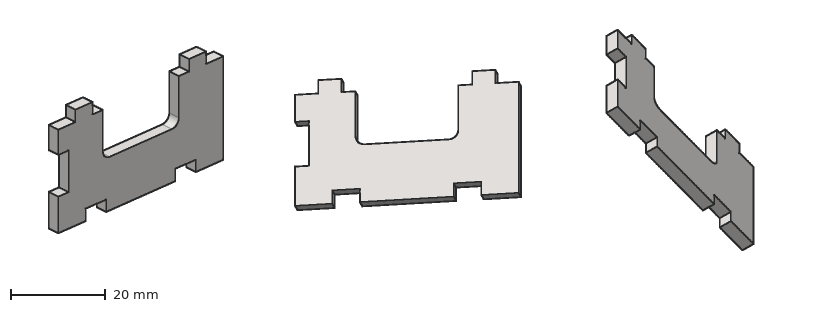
import cadquery as cq

thickness = 3.0
length = 48.0
height = 27.8

joint_depth = thickness
body_height = height - joint_depth

arm_width = 12.95
opening_floor = 12.85
opening_corner_radius = 2.0

tab_width = 5.0
tab_end_offset = 5.0

bottom_notch_width = 5.9
bottom_notch_end_offset = 8.0

end_notch_width = 10.0
end_notch_bottom = 8.8


def block(y_start, z_start, y_size, z_size):
    """Box through the full thickness, from its lowest Y and Z corner."""
    return (
        cq.Workplane("XY")
        .box(thickness, y_size, z_size, centered=(True, False, False))
        .translate((0, y_start, z_start))
    )


def mirrored_pair(shape):
    """The shape together with its mirror image across the middle of the length."""
    return shape.union(shape.mirror("XZ"))


y_min = -length / 2

opening = block(
    y_min + arm_width, opening_floor, length - 2 * arm_width, body_height - opening_floor
)
opening = opening.edges("|X and <Z").fillet(opening_corner_radius)
plate = block(y_min, 0, length, body_height).cut(opening)

tab = block(y_min + tab_end_offset, body_height, tab_width, joint_depth)
plate = plate.union(mirrored_pair(tab))

bottom_notch = block(y_min + bottom_notch_end_offset, 0, bottom_notch_width, joint_depth)
plate = plate.cut(mirrored_pair(bottom_notch))

end_notch = block(y_min, end_notch_bottom, joint_depth, end_notch_width)
result = plate.cut(end_notch)